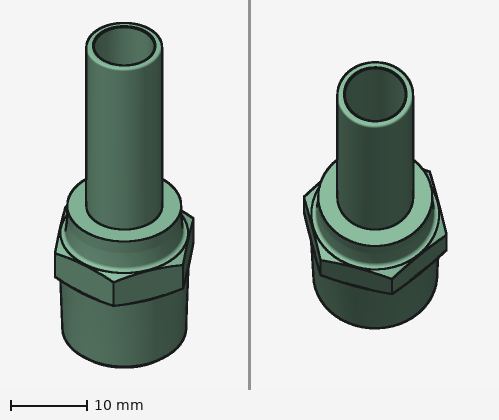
import cadquery as cq
import math

HEX_SIDES = 6
HEX_FLATS = 17.0
HEX_HEIGHT = 5.0
HEX_CORNERS = HEX_FLATS / math.cos(math.pi / HEX_SIDES)
HEX_CHAMFER_ANGLE = 20.0
HEX_FACE_RADIUS = 8.4

BODY_LENGTH = 12.0
BODY_TAPER = 1 / 16
BODY_TOP_RADIUS = HEX_FLATS / 2
BODY_CHAMFER = 1.0

COLLAR_RADIUS = 7.5
COLLAR_FOOT_RADIUS = 7.7
COLLAR_RING_HEIGHT = 2.0
COLLAR_FOOT_HEIGHT = 2.6
COLLAR_ROOT_FILLET = 0.5

TUBE_RADIUS = 5.0
TUBE_LENGTH = 27.0
TUBE_RIM_FILLET = 0.3
BORE_RADIUS = 4.0
BORE_CHAMFER = 0.1
BORE_DEPTH = TUBE_LENGTH

HEX_TOP = BODY_LENGTH + HEX_HEIGHT
FOOT_TOP = HEX_TOP + COLLAR_FOOT_HEIGHT
COLLAR_TOP = FOOT_TOP + COLLAR_RING_HEIGHT
TUBE_TOP = COLLAR_TOP + TUBE_LENGTH


def turn(profile):
    """Revolve a closed half profile, drawn in the XZ plane, around the Z axis."""
    return profile.revolve(360, (0, 0, 0), (0, 1, 0))


def make_body():
    """Tapered body, narrowing towards its chamfered bottom end at z = 0."""
    edge_radius = BODY_TOP_RADIUS - (BODY_LENGTH - BODY_CHAMFER) * BODY_TAPER / 2
    profile = (
        cq.Workplane("XZ")
        .lineTo(edge_radius - BODY_CHAMFER, 0)
        .lineTo(edge_radius, BODY_CHAMFER)
        .lineTo(BODY_TOP_RADIUS, BODY_LENGTH)
        .lineTo(0, BODY_LENGTH)
        .close()
    )
    return turn(profile)


def make_hexagon():
    """Hexagon with two corners on the X axis, all corners turned off conically at both ends."""
    prism = (
        cq.Workplane("XY")
        .workplane(offset=BODY_LENGTH)
        .polygon(HEX_SIDES, HEX_CORNERS)
        .extrude(HEX_HEIGHT)
    )
    corner_radius = HEX_CORNERS / 2
    corner_drop = (corner_radius - HEX_FACE_RADIUS) * math.tan(math.radians(HEX_CHAMFER_ANGLE))
    envelope = (
        cq.Workplane("XZ")
        .moveTo(0, BODY_LENGTH)
        .lineTo(HEX_FACE_RADIUS, BODY_LENGTH)
        .lineTo(corner_radius, BODY_LENGTH + corner_drop)
        .lineTo(corner_radius, HEX_TOP - corner_drop)
        .lineTo(HEX_FACE_RADIUS, HEX_TOP)
        .lineTo(0, HEX_TOP)
        .close()
    )
    return prism.intersect(turn(envelope))


def make_collar():
    """Collar with a concave fillet running out onto the hexagon face."""
    fillet_outer = COLLAR_FOOT_RADIUS + COLLAR_ROOT_FILLET
    fillet_top = HEX_TOP + COLLAR_ROOT_FILLET
    arc_offset = COLLAR_ROOT_FILLET / math.sqrt(2)
    profile = (
        cq.Workplane("XZ")
        .moveTo(0, HEX_TOP)
        .lineTo(fillet_outer, HEX_TOP)
        .threePointArc(
            (fillet_outer - arc_offset, fillet_top - arc_offset),
            (COLLAR_FOOT_RADIUS, fillet_top),
        )
        .lineTo(COLLAR_RADIUS, FOOT_TOP)
        .lineTo(COLLAR_RADIUS, COLLAR_TOP)
        .lineTo(0, COLLAR_TOP)
        .close()
    )
    return turn(profile)


def make_tube():
    """Tube stub, before boring, with a rounded outer rim."""
    tube = cq.Workplane("XY").workplane(offset=COLLAR_TOP).circle(TUBE_RADIUS).extrude(TUBE_LENGTH)
    return tube.faces(">Z").edges().fillet(TUBE_RIM_FILLET)


def make_bore():
    """Cutter for the blind bore down the tube stub, with a small chamfer at its mouth."""
    bore_floor = TUBE_TOP - BORE_DEPTH
    profile = (
        cq.Workplane("XZ")
        .moveTo(0, TUBE_TOP)
        .lineTo(BORE_RADIUS + BORE_CHAMFER, TUBE_TOP)
        .lineTo(BORE_RADIUS, TUBE_TOP - BORE_CHAMFER)
        .lineTo(BORE_RADIUS, bore_floor)
        .lineTo(0, bore_floor)
        .close()
    )
    return turn(profile)


result = make_body().union(make_hexagon()).union(make_collar()).union(make_tube()).cut(make_bore())